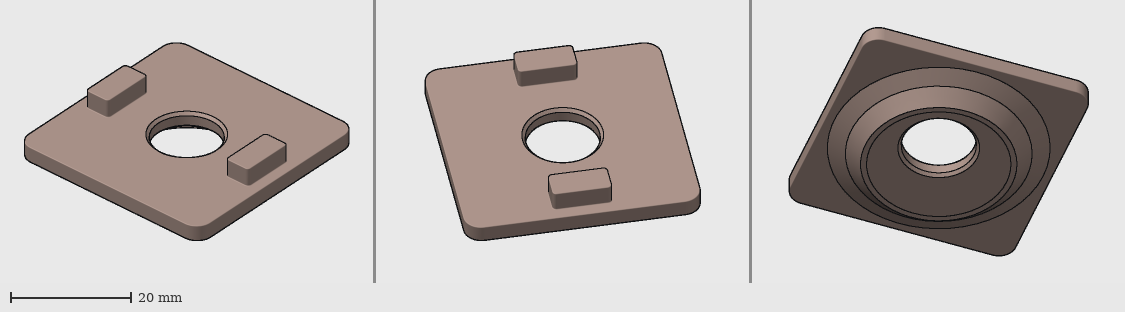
import cadquery as cq

plate_side = 40.0
plate_thickness = 3.0
plate_corner_radius = 3.0
plate_edge_radius = 0.15

cone_bottom_radius = 13.0
cone_break_radius = 15.5
cone_top_radius = 18.5
cone_rim_width = 1.0
lower_cone_height = cone_break_radius - cone_bottom_radius
cone_height = 3.9

hole_radius = 6.25
rim_radius = 6.8
rim_chamfer = rim_radius - hole_radius

lug_length_x = 5.0
lug_length_y = 10.0
lug_height = 3.48
lug_offset_x = 15.4
lug_corner_radius = 0.68
lug_top_radius = 0.15
lug_foot_radius = 0.15

plate_top = cone_height + plate_thickness


def make_plate():
    return (
        cq.Workplane("XY", origin=(0, 0, cone_height))
        .rect(plate_side, plate_side)
        .extrude(plate_thickness)
        .edges("|Z").fillet(plate_corner_radius)
        .faces("<Z or >Z").edges().fillet(plate_edge_radius)
    )


def make_cone():
    """Hollow revolved skirt: a 45 degree flank below a flatter one, around an open dish."""
    inner_radius = cone_bottom_radius - cone_rim_width
    profile = [
        (inner_radius, 0),
        (cone_bottom_radius, 0),
        (cone_break_radius, lower_cone_height),
        (cone_top_radius, cone_height),
        (inner_radius + cone_height, cone_height),
    ]
    return cq.Workplane("XZ").polyline(profile).close().revolve(360, (0, 0), (0, 1))


def make_lug(center_x):
    """Lug with rounded corners and a rounded top edge."""
    return (
        cq.Workplane("XY", origin=(center_x, 0, plate_top))
        .rect(lug_length_x, lug_length_y)
        .extrude(lug_height)
        .edges("|Z").fillet(lug_corner_radius)
        .faces(">Z").edges().fillet(lug_top_radius)
    )


def round_lug_feet(body):
    """Fillet the seams where the lugs meet the top face of the plate."""
    seam_reach_x = lug_length_x / 2 + lug_foot_radius
    seam_reach_y = lug_length_y / 2 + lug_foot_radius
    for side in (-1, 1):
        center_x = side * lug_offset_x
        seam = cq.selectors.BoxSelector(
            (center_x - seam_reach_x, -seam_reach_y, plate_top - lug_foot_radius),
            (center_x + seam_reach_x, seam_reach_y, plate_top + lug_foot_radius),
        )
        body = body.edges(seam).fillet(lug_foot_radius)
    return body


def make_hole():
    profile = [
        (0, cone_height),
        (rim_radius, cone_height),
        (hole_radius, cone_height + rim_chamfer),
        (hole_radius, plate_top - rim_chamfer),
        (rim_radius, plate_top),
        (0, plate_top),
    ]
    return cq.Workplane("XZ").polyline(profile).close().revolve(360, (0, 0), (0, 1))


result = make_plate().union(make_cone())
for side in (-1, 1):
    result = result.union(make_lug(side * lug_offset_x))
result = round_lug_feet(result)
result = result.cut(make_hole())